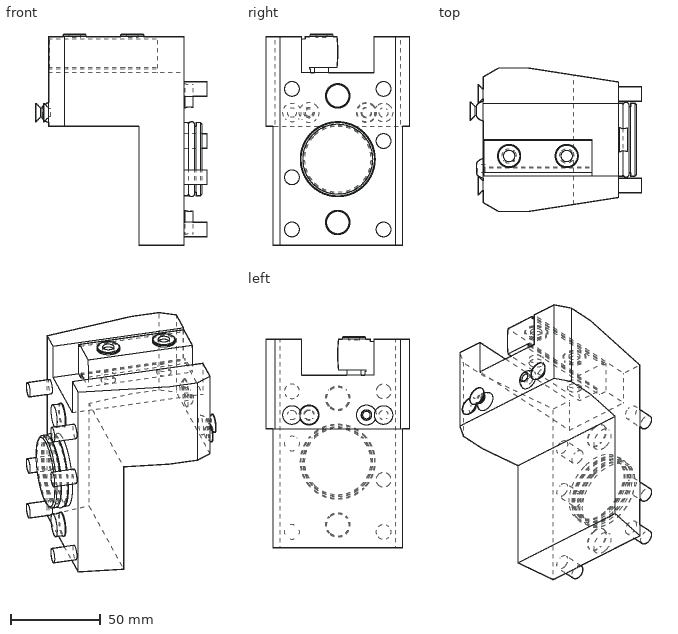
import cadquery as cq


block_length = 75.3
block_height = 116.1
leg_thickness = 25.2
arm_height = 50.0
arm_bottom = block_height - arm_height
max_half_width = 40.0
back_half_width = 32.2
nose_half_width = 35.0
nose_chamfer_length = 8.7
taper_length = 50.6

channel_half_width = 20.1
channel_depth = 20.1
channel_floor = block_height - channel_depth

bar_length = 60.2
bar_end_gap = 0.4
bar_edge_y = -0.4
bar_crown = 0.5
bar_bottom = block_height - 17.3
bar_foot_y = -15.1
bar_relief_width = 0.5
bar_relief_top = bar_bottom - 0.7
bar_step_width = 1.9
bar_step_depth = 1.3

screw_xs = (-60.9, -28.9)
screw_y = -9.0
screw_top = 117.4
screw_head_radius = 6.5
screw_head_chamfer = 0.5
screw_shank_radius = 4.0
screw_socket_radius = 3.2
screw_socket_depth = 1.9

boss_z = 47.9
boss_radius = 20.4
boss_length = 10.0
boss_rim_chamfer = 0.9
groove_start = 2.3
groove_end = 6.7
groove_radius = 18.4
ring_section_radius = 1.8
ring_outer_radius = 20.9
ring_x = groove_start + ring_section_radius

pin_radius = 4.1
pin_length = 12.8
pin_y = 25.5
pin_outer_offset = 39.1
pin_inner_offset = 10.1

plug_offset = 35.2
plug_length = 4.9
plug_collar_length = 0.5
plug_lip_length = 0.6
plug_collar_radius = 6.8
plug_waist_radius = 6.2
plug_radius = 6.5

nozzle_z = 73.8
ball_y = 16.0
ball_radius = 5.6
ball_inset = 1.0
ball_protrusion = 3.8
ball_tip_x = -block_length - ball_protrusion
ball_bore_radius = 2.1
ball_bore_chamfer = 0.7
ball_bore_depth = 4.7
stopper_y = 25.5
stopper_neck_radius = 2.6
stopper_root_depth = 1.2
stopper_head_radius = 5.2
stopper_cone_length = 2.6
stopper_rim_length = 0.4
ball_stopper_neck_length = 0.7


def box(x_range, y_range, z_range):
    """Box spanning the given (low, high) limits on each axis."""
    sizes = [high - low for low, high in (x_range, y_range, z_range)]
    low_corner = (x_range[0], y_range[0], z_range[0])
    return cq.Workplane("XY").box(*sizes, centered=False).translate(low_corner)


def turned(profile, x, y, z):
    """Spin a profile drawn as (axial, radial) about an X-parallel axis starting at (x, y, z)."""
    return profile.close().revolve(360, (0, 0, 0), (1, 0, 0)).translate((x, y, z))


def make_block():
    half_outline = [
        (0, back_half_width),
        (-taper_length, max_half_width),
        (-block_length + nose_chamfer_length, max_half_width),
        (-block_length, nose_half_width),
    ]
    other_half = [(x, -y) for x, y in reversed(half_outline)]
    block = cq.Workplane("XY").polyline(half_outline + other_half).close().extrude(block_height)

    full_width = (-max_half_width, max_half_width)
    under_arm = box((-block_length, -leg_thickness), full_width, (0, arm_bottom))
    channel = box(
        (-block_length, 0),
        (-channel_half_width, channel_half_width),
        (channel_floor, block_height),
    )
    return block.cut(under_arm).cut(channel)


def make_clamping_bar():
    """Bar with a crowned clamping side, a foot on the channel floor and a stepped top corner."""
    wall_y = -channel_half_width
    step_y = wall_y + bar_step_width
    step_z = block_height - bar_step_depth
    crown_point = (bar_edge_y + bar_crown, (block_height + bar_bottom) / 2)
    relief_y = bar_foot_y - bar_relief_width
    return (
        cq.Workplane("YZ", origin=(-block_length + bar_end_gap, 0, 0))
        .moveTo(wall_y, channel_floor)
        .lineTo(wall_y, step_z)
        .lineTo(step_y, step_z)
        .lineTo(step_y, block_height)
        .lineTo(bar_edge_y, block_height)
        .threePointArc(crown_point, (bar_edge_y, bar_bottom))
        .lineTo(relief_y, bar_bottom)
        .lineTo(relief_y, bar_relief_top)
        .lineTo(bar_foot_y, bar_relief_top)
        .lineTo(bar_foot_y, channel_floor)
        .close()
        .extrude(bar_length)
    )


def make_screw(x):
    shank = (
        cq.Workplane("XY", origin=(x, screw_y, channel_floor))
        .circle(screw_shank_radius)
        .extrude(block_height - channel_floor)
    )
    head = (
        cq.Workplane("XY", origin=(x, screw_y, block_height))
        .circle(screw_head_radius)
        .extrude(screw_top - block_height)
        .faces(">Z")
        .edges()
        .chamfer(screw_head_chamfer)
    )
    return shank.union(head)


def make_screw_socket(x):
    return (
        cq.Workplane("XY", origin=(x, screw_y, screw_top))
        .circle(screw_socket_radius)
        .extrude(-screw_socket_depth)
    )


def make_boss():
    """Spigot with a groove that holds a sealing ring."""
    spigot = turned(
        cq.Workplane("XY").polyline([
            (0, 0),
            (0, boss_radius),
            (groove_start, boss_radius),
            (groove_start, groove_radius),
            (groove_end, groove_radius),
            (groove_end, boss_radius),
            (boss_length - boss_rim_chamfer, boss_radius),
            (boss_length, boss_radius - boss_rim_chamfer),
            (boss_length, 0),
        ]),
        0, 0, boss_z,
    )
    ring_centre_radius = ring_outer_radius - ring_section_radius
    ring = (
        cq.Workplane("XY", origin=(ring_x, 0, boss_z))
        .center(0, ring_centre_radius)
        .circle(ring_section_radius)
        .revolve(360, (0, -ring_centre_radius, 0), (1, -ring_centre_radius, 0))
    )
    return spigot.union(ring)


def make_pin(y, z):
    return cq.Workplane("YZ", origin=(0, y, z)).circle(pin_radius).extrude(pin_length)


def make_sealing_plug(z):
    """Short waisted plug between a collar at the face and a lip at the free end."""
    waist_end = plug_length - plug_lip_length
    profile = (
        cq.Workplane("XY")
        .lineTo(0, plug_collar_radius)
        .lineTo(plug_collar_length, plug_collar_radius)
        .threePointArc(
            ((plug_collar_length + waist_end) / 2, plug_waist_radius),
            (waist_end, plug_radius),
        )
        .lineTo(plug_length, plug_radius)
        .lineTo(plug_length, 0)
    )
    return turned(profile, 0, 0, z)


def make_ball(y):
    """Ball standing out of the nose face, cut flat at its tip."""
    ball = cq.Workplane("XY").sphere(ball_radius).translate((-block_length + ball_inset, y, nozzle_z))
    kept = box(
        (ball_tip_x, -block_length + ball_inset),
        (y - ball_radius, y + ball_radius),
        (nozzle_z - ball_radius, nozzle_z + ball_radius),
    )
    return ball.intersect(kept)


def make_ball_bore(y):
    """Blind bore with a chamfered mouth, entering the ball from its tip."""
    profile = cq.Workplane("XY").polyline([
        (0, 0),
        (0, ball_bore_radius + ball_bore_chamfer),
        (ball_bore_chamfer, ball_bore_radius),
        (ball_bore_depth, ball_bore_radius),
        (ball_bore_depth, 0),
    ])
    return turned(profile, ball_tip_x, y, nozzle_z)


def make_stopper(surface_x, y, neck_length):
    """Conical-headed stopper pointing along -X, its neck rooted below the surface at surface_x."""
    cone_end = neck_length + stopper_cone_length
    head_end = cone_end + stopper_rim_length
    profile = cq.Workplane("XY").polyline([
        (stopper_root_depth, 0),
        (stopper_root_depth, stopper_neck_radius),
        (-neck_length, stopper_neck_radius),
        (-cone_end, stopper_head_radius),
        (-head_end, stopper_head_radius),
        (-head_end, 0),
    ])
    return turned(profile, surface_x, y, nozzle_z)


result = make_block().union(make_clamping_bar())

for screw_x in screw_xs:
    result = result.union(make_screw(screw_x)).cut(make_screw_socket(screw_x))

result = result.union(make_boss())

for offset in (-pin_outer_offset, -pin_inner_offset, pin_outer_offset):
    result = result.union(make_pin(-pin_y, boss_z + offset))
    result = result.union(make_pin(pin_y, boss_z - offset))

for offset in (-plug_offset, plug_offset):
    result = result.union(make_sealing_plug(boss_z + offset))

result = result.union(make_ball(ball_y)).union(make_ball(-ball_y)).cut(make_ball_bore(-ball_y))
result = result.union(make_stopper(ball_tip_x, ball_y, ball_stopper_neck_length))
for side_y in (-stopper_y, stopper_y):
    result = result.union(make_stopper(-block_length, side_y, 0))